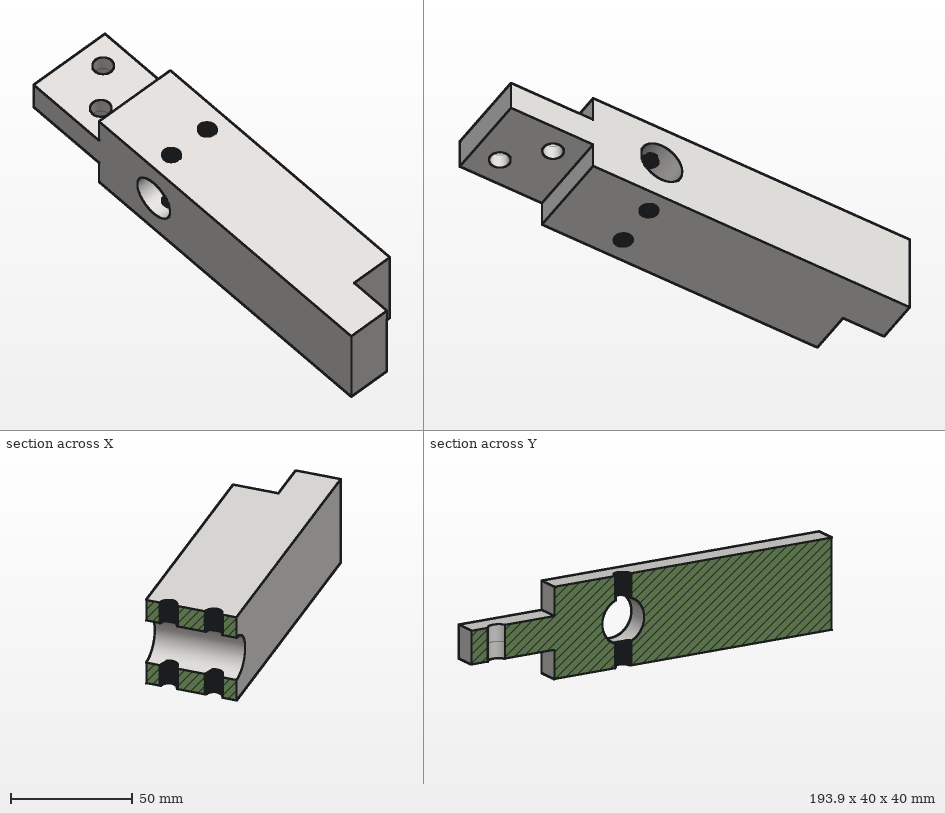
import cadquery as cq

length = 193.9
side = 40.0

tongue_length = side
tongue_thickness = 14.7

notch_length = 20.0
notch_depth = side / 2

bore_diameter = 20.0
bore_x = 73.3

tongue_hole_diameter = 9.0
tongue_hole_spacing = 15.9

thread_minor_diameter = 7.0
thread_major_diameter = 8.0
thread_pitch = 1.25
thread_mouth = thread_pitch * 7 / 8
thread_root_flat = thread_pitch / 8
threaded_hole_spacing = side / 2

core_overlap = 0.1
turns_inside = 9
turns_outside = 1


def box_between(x_range, y_range, z_range):
    """Box spanning the given ranges along X, Y and Z."""
    size = [high - low for low, high in (x_range, y_range, z_range)]
    corner = (x_range[0], y_range[0], z_range[0])
    return cq.Workplane("XY").box(*size, centered=False).translate(corner)


def stepped_bar():
    """Square bar with the tongue at -X and the corner notch at +X, +Y."""
    half = side / 2
    half_tongue = tongue_thickness / 2
    bar = box_between((0, length), (-half, half), (-half, half))
    bar = bar.cut(box_between((0, tongue_length), (-half, half), (half_tongue, half)))
    bar = bar.cut(box_between((0, tongue_length), (-half, half), (-half, -half_tongue)))
    notch_x = (length - notch_length, length)
    notch_y = (half - notch_depth, half)
    return bar.cut(box_between(notch_x, notch_y, (-half, half)))


def cross_bore():
    return cq.Workplane("XZ").center(bore_x, 0).circle(bore_diameter / 2).extrude(side / 2, both=True)


def vertical_holes(points, diameter):
    return cq.Workplane("XY").pushPoints(points).circle(diameter / 2).extrude(side, both=True)


def upper_thread_groove():
    """Helical groove about Z, from inside the bore to above the top face."""
    minor_radius = thread_minor_diameter / 2
    major_radius = thread_major_diameter / 2
    inner_radius = minor_radius - core_overlap
    helix = cq.Wire.makeHelix(thread_pitch, (turns_inside + turns_outside) * thread_pitch, minor_radius)
    profile = cq.Workplane("XZ").polyline([
        (inner_radius, -thread_mouth / 2),
        (major_radius, -thread_root_flat / 2),
        (major_radius, thread_root_flat / 2),
        (inner_radius, thread_mouth / 2),
    ]).close()
    groove = profile.sweep(cq.Workplane(helix), isFrenet=True)
    groove = groove.rotate((0, 0, 0), (0, 0, 1), 180)
    return groove.translate((0, 0, side / 2 - turns_inside * thread_pitch))


def cut_threaded_holes(body, points):
    """Cut the thread above and below the bore, then drill the cores."""
    upper = upper_thread_groove()
    lower = upper.rotate((0, 0, 0), (1, 0, 0), 180)
    for x, y in points:
        body = body.cut(upper.translate((x, y, 0)))
        body = body.cut(lower.translate((x, y, 0)))
    for point in points:
        body = body.cut(vertical_holes([point], thread_minor_diameter))
    return body


tongue_center_x = tongue_length / 2
tongue_hole_offset = tongue_hole_spacing / 2
tongue_hole_points = [
    (tongue_center_x - tongue_hole_offset, tongue_hole_offset),
    (tongue_center_x + tongue_hole_offset, -tongue_hole_offset),
]
threaded_hole_points = [(bore_x, sign * threaded_hole_spacing / 2) for sign in (-1, 1)]

result = stepped_bar()
result = result.cut(vertical_holes(tongue_hole_points, tongue_hole_diameter))
result = result.cut(cross_bore())
result = cut_threaded_holes(result, threaded_hole_points)